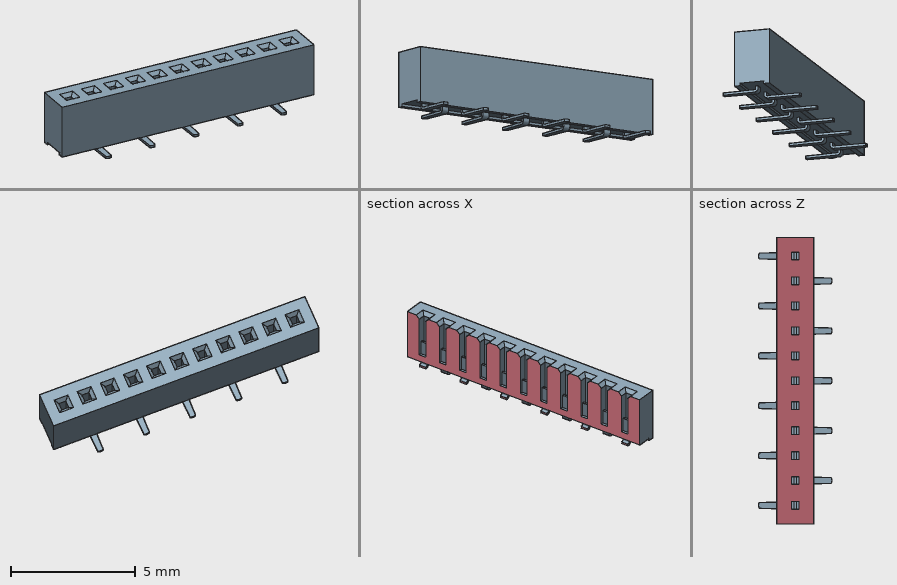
import cadquery as cq

length = 11.5
housing_width = 1.5
overall_height = 2.4
standoff = 0.15
notch_width = 1.0
notch_depth = 0.1

pitch = 1.0
contact_count = 11

mouth_size = 0.6
throat_size = 0.3
funnel_depth = (mouth_size - throat_size) / 2
socket_floor = 0.58

strip_thickness = 0.1
strip_width = 0.31
inner_bend_radius = 0.05
blade_top = 1.15
lead_span = 2.95
tip_width = 0.24
tip_bulge = 0.03

outer_bend_radius = inner_bend_radius + strip_thickness
blade_half = strip_thickness / 2
bend_end = outer_bend_radius - blade_half
lead_reach = lead_span / 2


def make_housing():
    """Plain block with a channel running along its underside."""
    block = cq.Workplane("XY").workplane(offset=standoff).rect(housing_width, length).extrude(
        overall_height - standoff
    )
    channel = cq.Workplane("XY").workplane(offset=standoff).rect(notch_width, length).extrude(notch_depth)
    return block.cut(channel)


def make_socket():
    """Square funnel leading into a straight blind throat."""
    funnel = (
        cq.Workplane("XY")
        .workplane(offset=overall_height)
        .rect(mouth_size, mouth_size)
        .workplane(offset=-funnel_depth)
        .rect(throat_size, throat_size)
        .loft(ruled=True)
    )
    throat_depth = overall_height - funnel_depth - socket_floor
    throat = (
        cq.Workplane("XY")
        .workplane(offset=socket_floor)
        .rect(throat_size, throat_size)
        .extrude(throat_depth)
    )
    return funnel.union(throat)


def make_contact():
    """Upright blade bent at its foot into a flat lead that points to +X."""
    strip = (
        cq.Workplane("XZ")
        .moveTo(-blade_half, blade_top)
        .lineTo(-blade_half, outer_bend_radius)
        .radiusArc((bend_end, 0), -outer_bend_radius)
        .lineTo(lead_reach, 0)
        .lineTo(lead_reach, strip_thickness)
        .lineTo(bend_end, strip_thickness)
        .radiusArc((blade_half, outer_bend_radius), inner_bend_radius)
        .lineTo(blade_half, blade_top)
        .close()
        .extrude(strip_width / 2, both=True)
    )
    return strip.intersect(make_lead_plan())


def make_lead_plan():
    """Tall prism with the plan outline of a contact: a taper ending in a shallow arc."""
    tip_x = lead_reach - tip_bulge
    return (
        cq.Workplane("XY")
        .moveTo(-blade_half, -strip_width / 2)
        .lineTo(bend_end, -strip_width / 2)
        .lineTo(tip_x, -tip_width / 2)
        .threePointArc((lead_reach, 0), (tip_x, tip_width / 2))
        .lineTo(bend_end, strip_width / 2)
        .lineTo(-blade_half, strip_width / 2)
        .close()
        .extrude(blade_top)
    )


result = make_housing()
socket = make_socket()
right_contact = make_contact()
left_contact = right_contact.mirror("YZ")

for index in range(contact_count):
    y = (index - (contact_count - 1) / 2) * pitch
    contact = left_contact if index % 2 == 0 else right_contact
    result = result.cut(socket.translate((0, y, 0)))
    result = result.union(contact.translate((0, y, 0)))